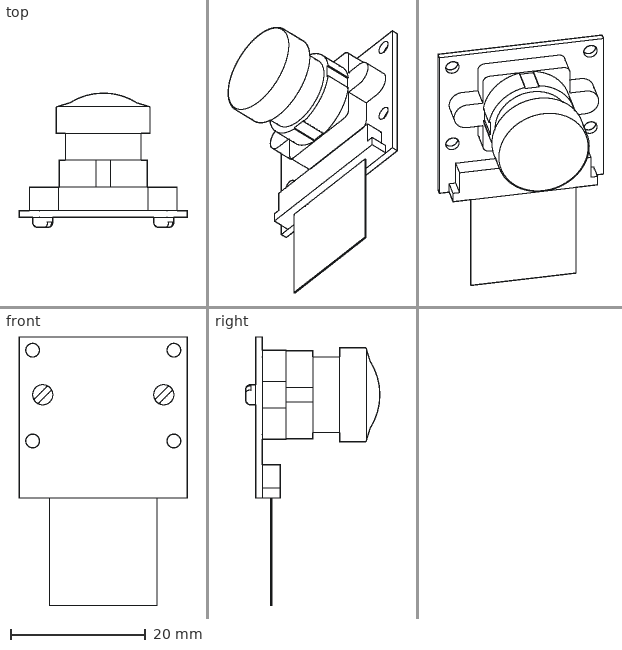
import cadquery as cq
import math


board_width = 25.0
board_height = 24.0
board_thickness = 1.0
hole_diameter = 2.0
hole_edge_distance = 2.0
hole_pitch_z = 13.5
hole_x = board_width / 2 - hole_edge_distance
hole_top_z = board_height - hole_edge_distance

axis_z = 15.375

base_size = 13.25
base_corner_radius = 1.0
base_depth = 3.5
ear_radius = 2.0
screw_x = 9.0
collar_radius = 6.65
collar_depth = 4.0
notch_width = 2.1
notch_depth = 0.3
base_front_y = board_thickness + base_depth
collar_front_y = base_front_y + collar_depth

neck_diameter = 11.25
neck_depth = 4.0
head_diameter = 14.0
head_depth = 4.0
head_edge_radius = 0.2
barrel_front_y = collar_front_y + neck_depth + head_depth

lens_base_radius = head_diameter / 2 - head_edge_radius
dome_radius = 5.0
dome_height = 1.45
skirt_height = 0.55
dome_sphere_radius = (dome_radius**2 + dome_height**2) / (2 * dome_height)

screw_diameter = 3.0
screw_height = 1.5
screw_edge_radius = 0.75
slot_width = 0.85
slot_depth = 0.8
slot_angle = 45.0

connector_width = 20.0
connector_height = 5.0
connector_depth = 2.7
connector_ear_span = 22.0
connector_ear_height = 1.5

ribbon_width = 16.0
ribbon_length = 16.0
ribbon_thickness = 0.2
ribbon_y = board_thickness + connector_depth / 2


def block(width, depth, height, start_y, bottom_z):
    """Box centred in X, growing in +Y from start_y and up from bottom_z."""
    return (
        cq.Workplane("XY")
        .box(width, depth, height, centered=(True, False, False))
        .translate((0, start_y, bottom_z))
    )


def axis_plane(y):
    """Workplane facing +Y, centred on the optical axis."""
    return cq.Workplane(cq.Plane(origin=(0, y, axis_z), xDir=(-1, 0, 0), normal=(0, 1, 0)))


def make_board():
    plate = block(board_width, board_thickness, board_height, 0, 0)
    hole_points = [(x, z) for x in (-hole_x, hole_x) for z in (hole_top_z, hole_top_z - hole_pitch_z)]
    holes = (
        cq.Workplane("XZ")
        .pushPoints(hole_points)
        .circle(hole_diameter / 2)
        .extrude(-board_thickness)
    )
    return plate.cut(holes)


def make_mount():
    base = (
        axis_plane(board_thickness)
        .rect(base_size, base_size)
        .extrude(base_depth)
        .edges("|Y")
        .fillet(base_corner_radius)
    )
    ears = (
        axis_plane(board_thickness)
        .slot2D(2 * (screw_x + ear_radius), 2 * ear_radius)
        .extrude(base_depth)
    )
    collar = axis_plane(base_front_y).circle(collar_radius).extrude(collar_depth)
    notches = (
        axis_plane(base_front_y)
        .polarArray(collar_radius, 0, 360, 4)
        .rect(2 * notch_depth, notch_width)
        .extrude(collar_depth)
    )
    return base.union(ears).union(collar.cut(notches))


def make_barrel():
    neck = axis_plane(collar_front_y).circle(neck_diameter / 2).extrude(neck_depth)
    head = (
        axis_plane(collar_front_y + neck_depth)
        .circle(head_diameter / 2)
        .extrude(head_depth)
        .faces(">Y")
        .edges()
        .fillet(head_edge_radius)
    )
    return neck.union(head)


def make_lens():
    apex_height = skirt_height + dome_height
    half_angle = math.asin(dome_radius / dome_sphere_radius) / 2
    arc_middle = (
        dome_sphere_radius * math.sin(half_angle),
        apex_height - dome_sphere_radius * (1 - math.cos(half_angle)),
    )
    return (
        cq.Workplane("XY")
        .lineTo(lens_base_radius, 0)
        .lineTo(dome_radius, skirt_height)
        .threePointArc(arc_middle, (0, apex_height))
        .close()
        .revolve(360, (0, 0), (0, 1))
        .translate((0, barrel_front_y, axis_z))
    )


def make_screw(x):
    head = (
        cq.Workplane("XZ")
        .circle(screw_diameter / 2)
        .extrude(screw_height)
        .faces("<Y")
        .edges()
        .fillet(screw_edge_radius)
    )
    slot = (
        cq.Workplane("XZ", origin=(0, slot_depth - screw_height, 0))
        .transformed(rotate=(0, 0, slot_angle))
        .rect(2 * screw_diameter, slot_width)
        .extrude(slot_depth)
    )
    return head.cut(slot).translate((x, 0, axis_z))


def make_connector():
    housing = block(connector_width, connector_depth, connector_height, board_thickness, 0)
    ears = block(connector_ear_span, connector_depth, connector_ear_height, board_thickness, 0)
    return housing.union(ears)


def make_ribbon():
    return block(
        ribbon_width, ribbon_thickness, ribbon_length, ribbon_y - ribbon_thickness / 2, -ribbon_length
    )


board = make_board()
mount = make_mount()
barrel = make_barrel()
lens = make_lens()
screws = [make_screw(x) for x in (-screw_x, screw_x)]
connector = make_connector()
ribbon = make_ribbon()

result = cq.Compound.makeCompound(
    [
        board.val(),
        mount.val(),
        barrel.val(),
        lens.val(),
        *[screw.val() for screw in screws],
        connector.val(),
        ribbon.val(),
    ]
)